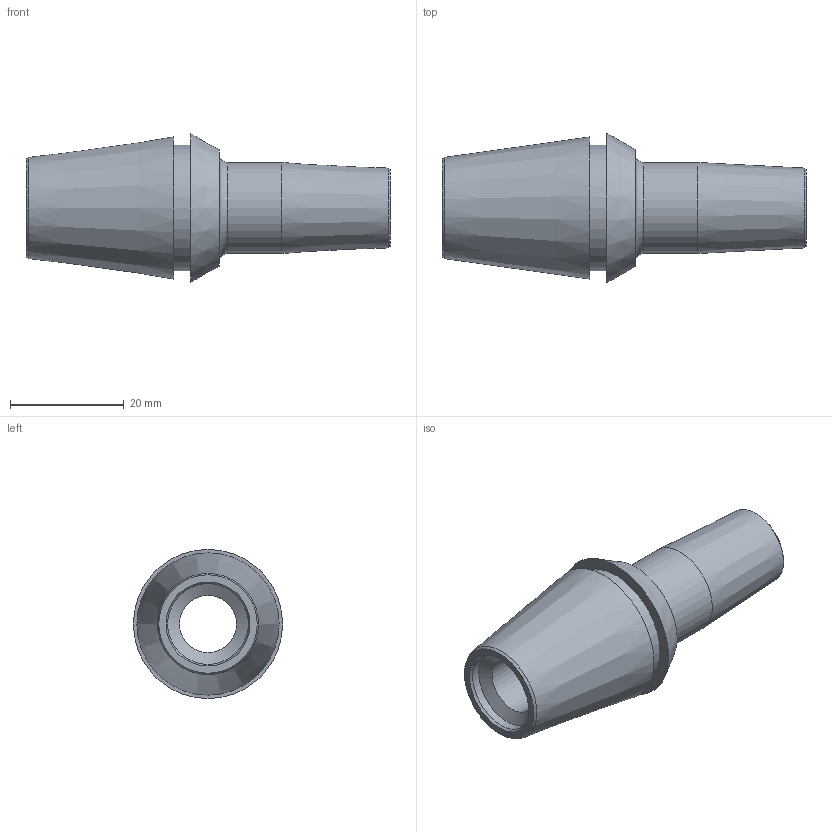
import cadquery as cq
import math

total_length = 64.0
plug_end = 26.0
flange_start = 29.0
flange_end = 34.0
taper_start = 45.0

flange_radius = 13.115
plug_radius = 12.5
groove_radius = 11.0
spigot_radius = 8.0
mouth_radius = 8.9
flange_angle = 30.0
spigot_taper_angle = 3.0

mouth_chamfer_length = 0.5
mouth_chamfer_height = 0.25
spigot_chamfer = 0.3
shoulder_fillet = 1.5

bore_radius = 5.0
counterbore_radius = 7.1
bore_chamfer_length = 0.5
bore_chamfer_height = 0.28
counterbore_depth = 2.0
seat_angle = 60.0


def drop(run, angle):
    """Radius lost along an axial run on a cone of the given half angle."""
    return run * math.tan(math.radians(angle))


def turn(profile):
    """Revolve a closed half profile a full turn about the X axis."""
    return profile.revolve(360, (0, 0, 0), (1, 0, 0))


def turned_body():
    """Solid of revolution about X: plug cone, groove, flange and tapered spigot."""
    flange_back_radius = flange_radius - drop(flange_end - flange_start, flange_angle)
    spigot_chamfer_start = total_length - spigot_chamfer
    spigot_tip_radius = spigot_radius - drop(spigot_chamfer_start - taper_start, spigot_taper_angle)

    arc_offset = shoulder_fillet * (1 - math.sqrt(0.5))
    fillet_middle = (flange_end + arc_offset, spigot_radius + arc_offset)
    fillet_end = (flange_end + shoulder_fillet, spigot_radius)

    profile = (
        cq.Workplane("XY")
        .moveTo(0, 0)
        .lineTo(0, mouth_radius - mouth_chamfer_height)
        .lineTo(mouth_chamfer_length, mouth_radius)
        .lineTo(plug_end, plug_radius)
        .lineTo(plug_end, groove_radius)
        .lineTo(flange_start, groove_radius)
        .lineTo(flange_start, flange_radius)
        .lineTo(flange_end, flange_back_radius)
        .lineTo(flange_end, spigot_radius + shoulder_fillet)
        .threePointArc(fillet_middle, fillet_end)
        .lineTo(taper_start, spigot_radius)
        .lineTo(spigot_chamfer_start, spigot_tip_radius)
        .lineTo(total_length, spigot_tip_radius - spigot_chamfer)
        .lineTo(total_length, 0)
        .close()
    )
    return turn(profile)


def stepped_bore():
    """Through bore with a chamfered counterbore and a conical seat at the mouth."""
    seat_length = (counterbore_radius - bore_radius) / math.tan(math.radians(seat_angle))
    profile = (
        cq.Workplane("XY")
        .moveTo(0, 0)
        .lineTo(0, counterbore_radius + bore_chamfer_height)
        .lineTo(bore_chamfer_length, counterbore_radius)
        .lineTo(counterbore_depth, counterbore_radius)
        .lineTo(counterbore_depth + seat_length, bore_radius)
        .lineTo(total_length, bore_radius)
        .lineTo(total_length, 0)
        .close()
    )
    return turn(profile)


result = turned_body().cut(stepped_bore())